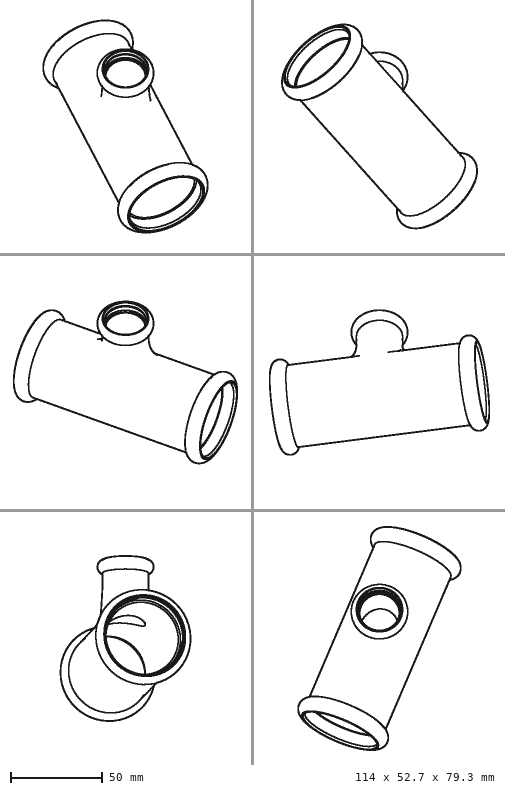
import cadquery as cq

run_length = 114.0
run_diameter = 45.4
run_bore = 40.4
run_seat = 42.8
run_seal_bore = 42.4
run_seal_width = 3.2
run_lip_length = 1.3
run_seat_length = 2.2
run_mouth = 43.8
run_bead_diameter = 52.7
run_bead_width = 9.1

overall_height = 79.3
branch_top = overall_height - run_bead_diameter / 2
branch_diameter = 25.3
branch_bore = 21.5
branch_seat = 22.9
branch_seal_bore = 22.3
branch_seal_width = 2.7
branch_lip_length = 0.8
branch_seat_length = 1.4
branch_mouth = 24.4
branch_bead_diameter = 30.9
branch_bead_width = 7.4

skirt_top = 38.2
skirt_base_diameter = 28.5
skirt_base_height = 11.4
saddle_radius = 14.8

flare_depth = 1.5


def bead(mouth, diameter, width):
    """Rounded ring on the end at Z = 0, with the pipe running towards -Z."""
    mouth_radius = mouth / 2
    return (
        cq.Workplane("XZ")
        .lineTo(mouth_radius, 0)
        .threePointArc((diameter / 2, -width / 2), (mouth_radius, -width))
        .lineTo(0, -width)
        .close()
        .revolve(360, (0, 0), (0, 1))
    )


def socket(mouth, seat, seal_bore, lip_length, seal_width, seat_length):
    """Space inside a pressed end: lead-in, seat with a bulging seal, and flat pipe stop."""
    seal_start = -flare_depth - lip_length
    seal_end = seal_start - seal_width
    stop = seal_end - seat_length
    return (
        cq.Workplane("XZ")
        .lineTo(mouth / 2, 0)
        .lineTo(seat / 2, -flare_depth)
        .lineTo(seat / 2, seal_start)
        .threePointArc((seal_bore / 2, (seal_start + seal_end) / 2), (seat / 2, seal_end))
        .lineTo(seat / 2, stop)
        .lineTo(0, stop)
        .close()
        .revolve(360, (0, 0), (0, 1))
    )


def on_run_ends(feature):
    """Copy a feature of an end at Z = 0 onto both ends of the run."""
    right = feature.rotate((0, 0, 0), (0, 1, 0), 90).translate((run_length / 2, 0, 0))
    return right.union(right.mirror("YZ"))


def run_cylinder(diameter):
    return cq.Workplane("YZ").circle(diameter / 2).extrude(run_length / 2, both=True)


def branch_cylinder(diameter):
    return cq.Workplane("XY").circle(diameter / 2).extrude(branch_top)


run_radius = run_diameter / 2
skirt = (
    cq.Workplane("XZ")
    .lineTo(skirt_base_diameter / 2, 0)
    .lineTo(skirt_base_diameter / 2, skirt_base_height)
    .lineTo(branch_diameter / 2, skirt_top)
    .lineTo(branch_diameter / 2, branch_top)
    .lineTo(0, branch_top)
    .close()
    .revolve(360, (0, 0), (0, 1))
)
blend_zone = cq.selectors.BoxSelector(
    (-run_radius, -run_radius, run_radius / 2),
    (run_radius, run_radius, (run_radius + skirt_top) / 2),
)
outside = run_cylinder(run_diameter).union(skirt).edges(blend_zone).fillet(saddle_radius)

run_bead = bead(run_mouth, run_bead_diameter, run_bead_width)
branch_bead = bead(branch_mouth, branch_bead_diameter, branch_bead_width)
outside = outside.union(on_run_ends(run_bead))
outside = outside.union(branch_bead.translate((0, 0, branch_top)))

run_socket = socket(
    run_mouth, run_seat, run_seal_bore,
    run_lip_length, run_seal_width, run_seat_length,
)
branch_socket = socket(
    branch_mouth, branch_seat, branch_seal_bore,
    branch_lip_length, branch_seal_width, branch_seat_length,
)
result = (
    outside.cut(run_cylinder(run_bore))
    .cut(branch_cylinder(branch_bore))
    .cut(on_run_ends(run_socket))
    .cut(branch_socket.translate((0, 0, branch_top)))
)